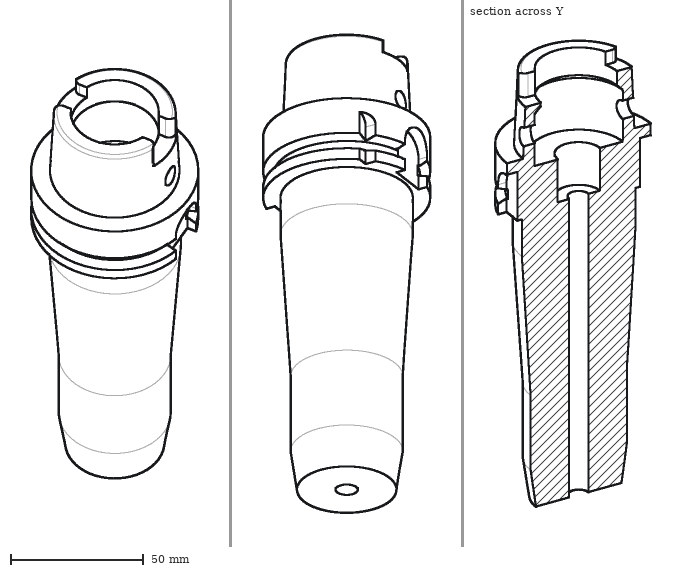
import cadquery as cq

TOTAL_HEIGHT = 182.0
NOSE_TOP = 16.4
BODY_TAPER_BOTTOM = 48.2
BODY_TAPER_TOP = 108.5
FLANGE_BOTTOM = 124.1
FLANGE_TOP = 150.0

NOSE_TIP_RADIUS = 18.7
BODY_RADIUS = 21.1
COLLAR_RADIUS = 25.0
FLANGE_RADIUS = 31.5
CONE_BASE_RADIUS = 24.4
CONE_TOP_RADIUS = 23.0
RIM_ROUNDING = 1.3

GROOVE_RADIUS = 27.7
GROOVE_BOTTOM = 130.1
GROOVE_TOP = 133.8
GROOVE_BEVEL = 1.5

BORE_RADIUS = 16.5
UNDERCUT_RADIUS = 19.1
UNDERCUT_TOP = 170.2
UNDERCUT_TAPER = UNDERCUT_RADIUS - BORE_RADIUS
CAVITY_FLOOR = 145.6
COUNTERBORE_RADIUS = 9.1
COUNTERBORE_FLOOR = 127.4
THROUGH_RADIUS = 4.2

KEYWAY_WIDTH = 12.5
KEYWAY_DEPTH_LEFT = 5.6
KEYWAY_DEPTH_RIGHT = 10.2
KEYWAY_CORNER_RADIUS = 2.7

CROSS_HOLE_RADIUS = 3.8
CROSS_HOLE_HEIGHT = 159.0

SLOT_TOP = 144.9
SLOT_WIDTH = 16.0
SLOT_FLOOR = 26.8
NOTCH_TOP = 144.3
NOTCH_WIDTH = 9.0
NOTCH_FLOOR = 20.2
NOTCH_CENTER_Y = 24.2

CUT_MARGIN = 5.5


def revolve_profile(points):
    """Revolve a closed (radius, height) outline about the Z axis."""
    return cq.Workplane("XZ").polyline(points).close().revolve(360, (0, 0), (0, 1))


def outer_body():
    body = revolve_profile([
        (0, 0),
        (NOSE_TIP_RADIUS, 0),
        (BODY_RADIUS, NOSE_TOP),
        (BODY_RADIUS, BODY_TAPER_BOTTOM),
        (COLLAR_RADIUS, BODY_TAPER_TOP),
        (COLLAR_RADIUS, FLANGE_BOTTOM),
        (FLANGE_RADIUS, FLANGE_BOTTOM),
        (FLANGE_RADIUS, GROOVE_BOTTOM - GROOVE_BEVEL),
        (GROOVE_RADIUS, GROOVE_BOTTOM),
        (GROOVE_RADIUS, GROOVE_TOP),
        (FLANGE_RADIUS, GROOVE_TOP + GROOVE_BEVEL),
        (FLANGE_RADIUS, FLANGE_TOP),
        (CONE_BASE_RADIUS, FLANGE_TOP),
        (CONE_TOP_RADIUS, TOTAL_HEIGHT),
        (0, TOTAL_HEIGHT),
    ])
    return body.faces(">Z").edges().fillet(RIM_ROUNDING)


def stepped_bore():
    return revolve_profile([
        (0, 0),
        (THROUGH_RADIUS, 0),
        (THROUGH_RADIUS, COUNTERBORE_FLOOR),
        (COUNTERBORE_RADIUS, COUNTERBORE_FLOOR),
        (COUNTERBORE_RADIUS, CAVITY_FLOOR),
        (UNDERCUT_RADIUS, CAVITY_FLOOR),
        (UNDERCUT_RADIUS, UNDERCUT_TOP - UNDERCUT_TAPER),
        (BORE_RADIUS, UNDERCUT_TOP),
        (BORE_RADIUS, TOTAL_HEIGHT),
        (0, TOTAL_HEIGHT),
    ])


def keyway(side, depth):
    """Rim slot whose side walls flare outward in a convex quarter round."""
    half = KEYWAY_WIDTH / 2
    radius = KEYWAY_CORNER_RADIUS
    flare_half = half + radius
    flare_end = (CONE_TOP_RADIUS**2 - flare_half**2) ** 0.5
    flare_start = flare_end - radius
    outer = CONE_BASE_RADIUS + CUT_MARGIN
    bend = radius * 0.5**0.5
    bend_x = side * (flare_start + bend)
    bend_y = flare_half - bend
    return (
        cq.Workplane("XY", origin=(0, 0, TOTAL_HEIGHT - depth))
        .moveTo(0, -half)
        .lineTo(side * flare_start, -half)
        .threePointArc((bend_x, -bend_y), (side * flare_end, -flare_half))
        .lineTo(side * outer, -flare_half)
        .lineTo(side * outer, flare_half)
        .lineTo(side * flare_end, flare_half)
        .threePointArc((bend_x, bend_y), (side * flare_start, half))
        .lineTo(0, half)
        .close()
        .extrude(depth)
    )


def flange_slot(side, center_y, width, top, floor):
    """Slot with a round upper end, open at the flange underside, with a flat floor facing X."""
    radius = width / 2
    length = FLANGE_RADIUS + CUT_MARGIN - floor
    return (
        cq.Workplane("YZ", origin=(side * floor, 0, 0))
        .moveTo(center_y - radius, FLANGE_BOTTOM)
        .lineTo(center_y - radius, top - radius)
        .threePointArc((center_y, top), (center_y + radius, top - radius))
        .lineTo(center_y + radius, FLANGE_BOTTOM)
        .close()
        .extrude(side * length)
    )


cross_hole = (
    cq.Workplane("YZ", origin=(0, 0, CROSS_HOLE_HEIGHT))
    .circle(CROSS_HOLE_RADIUS)
    .extrude(CONE_BASE_RADIUS + CUT_MARGIN, both=True)
)

result = outer_body().cut(stepped_bore()).cut(cross_hole)
for side, depth in ((-1, KEYWAY_DEPTH_LEFT), (1, KEYWAY_DEPTH_RIGHT)):
    result = result.cut(keyway(side, depth))
    result = result.cut(flange_slot(side, 0, SLOT_WIDTH, SLOT_TOP, SLOT_FLOOR))
result = result.cut(flange_slot(-1, NOTCH_CENTER_Y, NOTCH_WIDTH, NOTCH_TOP, NOTCH_FLOOR))